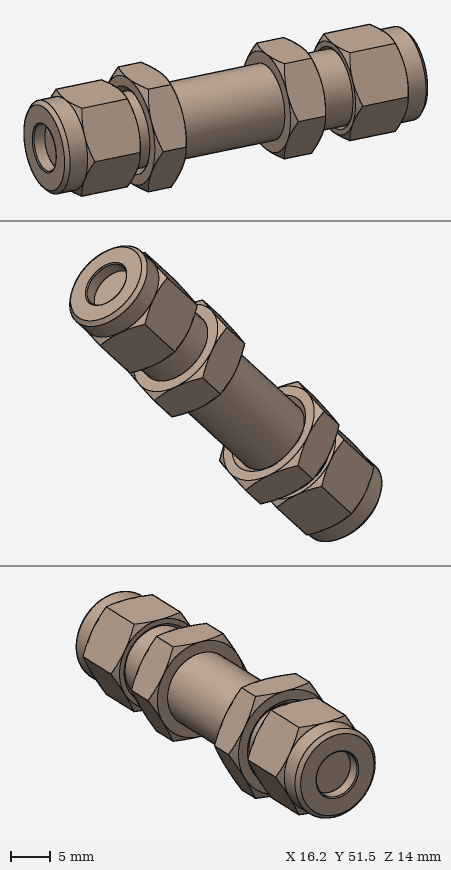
import cadquery as cq
import math

LENGTH = 51.5
HALF_LENGTH = LENGTH / 2

SHANK_DIAMETER = 9.9

END_NUT_FLATS = 12.0
COLLAR_DIAMETER = END_NUT_FLATS
COLLAR_LENGTH = 3.0
COLLAR_CHAMFER = 0.5
END_NUT_LENGTH = 7.5

END_NUT_SINK_DIAMETER = 10.6

SOCKET_DIAMETER = 6.1
SOCKET_DEPTH = 1.7
SOCKET_CHAMFER = 0.15

BODY_HEX_FLATS = 13.0
BODY_HEX_LENGTH = 5.0
BODY_HEX_GAP = 4.5

JAM_NUT_FLATS = 14.0
JAM_NUT_LENGTH = 4.5
JAM_NUT_GAP = 1.5
JAM_NUT_SINK_DIAMETER = 11.35

HEX_CHAMFER_ANGLE = 30.0

SHANK_LENGTH = LENGTH - 2 * COLLAR_LENGTH
END_NUT_INNER_Y = HALF_LENGTH - COLLAR_LENGTH - END_NUT_LENGTH
BODY_HEX_START_Y = END_NUT_INNER_Y - BODY_HEX_GAP - BODY_HEX_LENGTH
JAM_NUT_START_Y = -END_NUT_INNER_Y + JAM_NUT_GAP


def revolve_about_y(points):
    """Revolve a closed (radius, y) outline about the Y axis."""
    return cq.Workplane("XY").polyline(points).close().revolve(360, (0, 0, 0), (0, 1, 0))


def hexagon(flats, length, start_y):
    """Hexagonal prism with corners on +X and -X and both ends chamfered."""
    flat_radius = flats / 2
    corner_radius = flat_radius / math.cos(math.pi / 6)
    chamfer_length = (corner_radius - flat_radius) * math.tan(math.radians(HEX_CHAMFER_ANGLE))
    end_y = start_y + length
    prism = (
        cq.Workplane("XZ", origin=(0, end_y, 0))
        .polygon(6, 2 * corner_radius)
        .extrude(length)
    )
    envelope = revolve_about_y([
        (0, start_y),
        (flat_radius, start_y),
        (corner_radius, start_y + chamfer_length),
        (corner_radius, end_y - chamfer_length),
        (flat_radius, end_y),
        (0, end_y),
    ])
    return prism.intersect(envelope)


def collar():
    """Round collar at the +Y end, chamfered on its outer rim."""
    radius = COLLAR_DIAMETER / 2
    return revolve_about_y([
        (0, HALF_LENGTH - COLLAR_LENGTH),
        (radius, HALF_LENGTH - COLLAR_LENGTH),
        (radius, HALF_LENGTH - COLLAR_CHAMFER),
        (radius - COLLAR_CHAMFER, HALF_LENGTH),
        (0, HALF_LENGTH),
    ])


def socket():
    """Blind socket at the +Y end, with a chamfered mouth."""
    radius = SOCKET_DIAMETER / 2
    return revolve_about_y([
        (0, HALF_LENGTH - SOCKET_DEPTH),
        (radius, HALF_LENGTH - SOCKET_DEPTH),
        (radius, HALF_LENGTH - SOCKET_CHAMFER),
        (radius + SOCKET_CHAMFER, HALF_LENGTH),
        (0, HALF_LENGTH),
    ])


def round_bar(diameter, length):
    """Plain round bar along Y, centred on the origin."""
    return cq.Workplane("XZ").circle(diameter / 2).extrude(length / 2, both=True)


def countersink(mouth_diameter, mouth_y, direction):
    """45-degree cone narrowing from its mouth to the shank, toward +Y (1) or -Y (-1)."""
    mouth_radius = mouth_diameter / 2
    shank_radius = SHANK_DIAMETER / 2
    root_y = mouth_y + direction * (mouth_radius - shank_radius)
    return revolve_about_y([
        (0, mouth_y),
        (mouth_radius, mouth_y),
        (shank_radius, root_y),
        (0, root_y),
    ])


def make_end_nut():
    """End nut at +Y with its collar, tube socket and inner countersink."""
    nut = collar().union(hexagon(END_NUT_FLATS, END_NUT_LENGTH, END_NUT_INNER_Y))
    nut = nut.cut(countersink(END_NUT_SINK_DIAMETER, END_NUT_INNER_Y, 1))
    return nut.cut(socket())


def make_fitting():
    """Shank with its fixed hexagon and a matching nut at each end."""
    shank = round_bar(SHANK_DIAMETER, SHANK_LENGTH)
    fitting = shank.union(hexagon(BODY_HEX_FLATS, BODY_HEX_LENGTH, BODY_HEX_START_Y))
    nut = make_end_nut()
    return fitting.union(nut).union(nut.mirror("XZ"))


def make_jam_nut():
    """Loose hexagonal nut on the shank, countersunk at both ends."""
    end_y = JAM_NUT_START_Y + JAM_NUT_LENGTH
    nut = hexagon(JAM_NUT_FLATS, JAM_NUT_LENGTH, JAM_NUT_START_Y)
    nut = nut.cut(round_bar(SHANK_DIAMETER, LENGTH))
    nut = nut.cut(countersink(JAM_NUT_SINK_DIAMETER, JAM_NUT_START_Y, 1))
    return nut.cut(countersink(JAM_NUT_SINK_DIAMETER, end_y, -1))


fitting = make_fitting()
jam_nut = make_jam_nut()

result = cq.Compound.makeCompound([fitting.val(), jam_nut.val()])